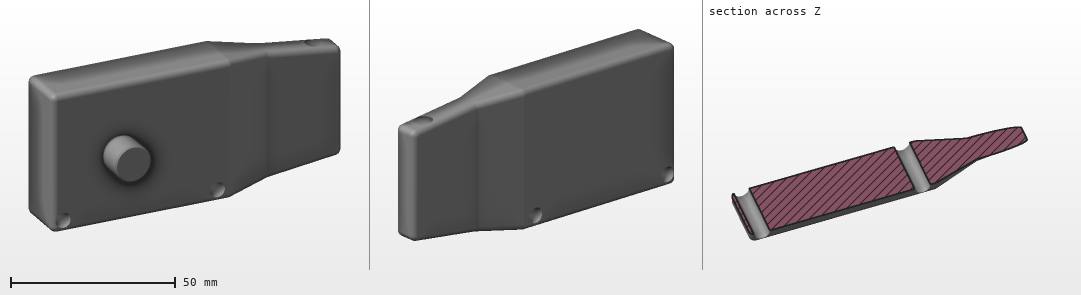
import cadquery as cq

length = 100.0
body_width = 18.0
body_height = 46.0
body_length = 60.0
shoulder_end = 75.0
tail_width = 9.0
tip_height = 36.0
edge_radius = 2.0

knob_y = 22.6
knob_diameter = 12.0
knob_chamfer = 0.5
knob_length = 9.0
stem_diameter = knob_diameter - 2 * knob_chamfer
stem_length = 0.8

cross_hole_diameter = 5.0
cross_hole_count = 2
cross_hole_spacing = 52.0
first_hole_y = 3.7
cross_hole_rise = 4.0
cross_hole_z = cross_hole_rise - body_height / 2

recess_diameter = 6.0
recess_y = 92.6


def roof_height(y):
    """Height of the sloping top surface above mid-height, beyond the straight body."""
    slope = (body_height - tip_height) / 2 / (length - body_length)
    return body_height / 2 - slope * (y - body_length)


def make_housing():
    half_body = body_width / 2
    half_tail = tail_width / 2
    plan = (
        cq.Workplane("XY")
        .polyline([
            (-half_body, 0),
            (half_body, 0),
            (half_body, body_length),
            (half_tail, shoulder_end),
            (half_tail, length),
            (-half_tail, length),
            (-half_tail, shoulder_end),
            (-half_body, body_length),
        ])
        .close()
        .extrude(body_height / 2, both=True)
    )
    side = (
        cq.Workplane("YZ")
        .polyline([
            (0, -body_height / 2),
            (body_length, -body_height / 2),
            (length, -tip_height / 2),
            (length, tip_height / 2),
            (body_length, body_height / 2),
            (0, body_height / 2),
        ])
        .close()
        .extrude(body_width / 2, both=True)
    )
    return plan.intersect(side).edges().fillet(edge_radius)


def make_knob():
    side_plane = cq.Workplane("YZ", origin=(body_width / 2, knob_y, 0))
    stem = (
        side_plane.workplane(offset=-edge_radius)
        .circle(stem_diameter / 2)
        .extrude(edge_radius + stem_length)
    )
    head = (
        side_plane.workplane(offset=stem_length)
        .circle(knob_diameter / 2)
        .extrude(knob_length)
        .edges()
        .chamfer(knob_chamfer)
    )
    return stem.union(head)


def make_cross_holes():
    return (
        cq.Workplane("YZ")
        .pushPoints([(first_hole_y + i * cross_hole_spacing, cross_hole_z) for i in range(cross_hole_count)])
        .circle(cross_hole_diameter / 2)
        .extrude(body_width, both=True)
    )


def make_tail_recess():
    floor = roof_height(recess_y + recess_diameter / 2)
    return (
        cq.Workplane("XY", origin=(0, recess_y, floor))
        .circle(recess_diameter / 2)
        .extrude(body_height / 2 - floor)
    )


result = make_housing().cut(make_cross_holes()).cut(make_tail_recess()).union(make_knob())